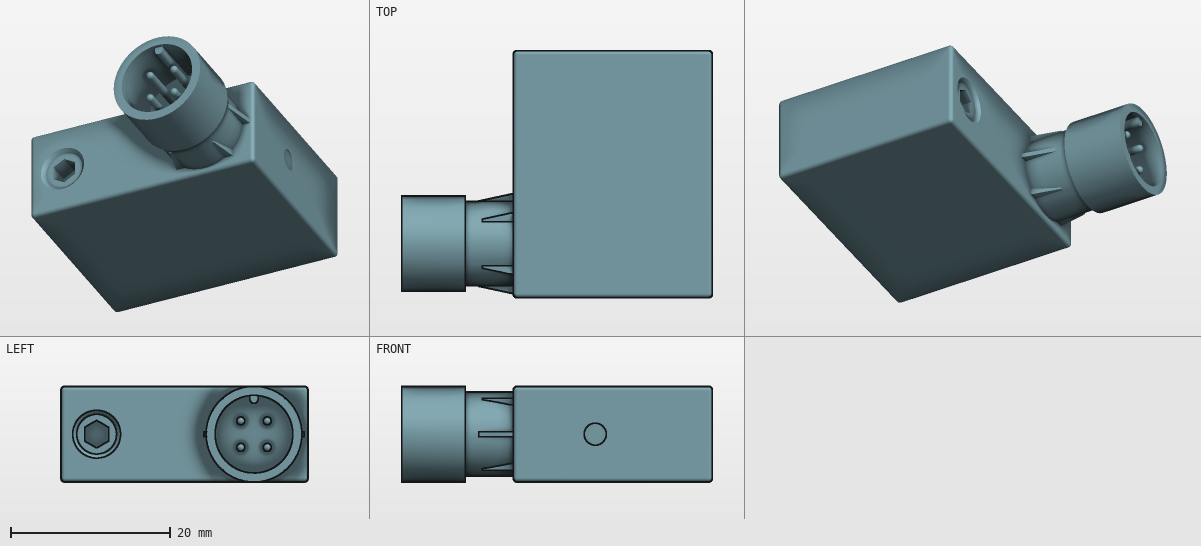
import cadquery as cq
import math

total_length = 39.0
housing_length = 25.0
housing_width = 31.0
housing_height = 12.0
edge_radius = 0.5
housing_front = total_length - housing_length

plug_side_distance = 6.8
plug_y = plug_side_distance - housing_width / 2
collar_diameter = housing_height
collar_length = 8.0
bore_diameter = 9.75
neck_diameter = 10.6

pin_diameter = 1.0
pin_pitch = 3.3
pin_setback = 1.0
key_width = 1.0
key_height = 1.0
key_setback = 0.5

rib_taper_angle = 12.0
middle_rib_length = 4.33
middle_rib_reach = 6.28
middle_rib_thickness = 0.6
outer_rib_length = 3.9
outer_rib_reach = 3.9
outer_rib_bottom = 3.7
outer_rib_top = 4.52

screw_side_distance = 4.5
screw_y = housing_width / 2 - screw_side_distance
countersink_diameter = 6.0
screw_head_diameter = 5.0
countersink_depth = (countersink_diameter - screw_head_diameter) / 2
hex_across_flats = 3.0
hex_depth = 3.0

window_diameter = 2.75
window_depth = 0.1
window_from_front = 10.3


def x_cylinder(diameter, x_start, x_end, y=0.0, z=0.0):
    """Cylinder along X between two X positions."""
    return (
        cq.Workplane("YZ", origin=(x_start, y, z))
        .circle(diameter / 2)
        .extrude(x_end - x_start)
    )


def make_housing():
    """Block with all edges rounded."""
    return (
        cq.Workplane("XY", origin=(housing_front + housing_length / 2, 0, 0))
        .box(housing_length, housing_width, housing_height)
        .edges()
        .fillet(edge_radius)
    )


def make_rib(length, reach, z_bottom, z_top, side):
    """Wedge flaring toward the housing; its root is buried in the neck and the housing."""
    slope = math.tan(math.radians(rib_taper_angle))
    root_x = housing_front + edge_radius
    tip_x = housing_front - length
    root_reach = reach + edge_radius * slope
    tip_reach = reach - length * slope
    return (
        cq.Workplane("XY", origin=(0, plug_y, z_bottom))
        .moveTo(tip_x, 0)
        .lineTo(root_x, 0)
        .lineTo(root_x, side * root_reach)
        .lineTo(tip_x, side * tip_reach)
        .close()
        .extrude(z_top - z_bottom)
    )


def make_pin(y, z):
    """Round-ended pin rising from the floor of the bore."""
    radius = pin_diameter / 2
    dome_x = pin_setback + radius
    shaft = x_cylinder(pin_diameter, dome_x, collar_length + radius, y, z)
    dome = cq.Workplane("XY", origin=(dome_x, y, z)).sphere(radius)
    return shaft.union(dome)


def make_key():
    """Round-nosed key along the top of the bore, rooted in the collar wall."""
    nose_radius = key_width / 2
    nose_z = bore_diameter / 2 - key_height + nose_radius
    root_z = (bore_diameter + collar_diameter) / 4
    return (
        cq.Workplane("YZ", origin=(key_setback, plug_y, 0))
        .moveTo(-nose_radius, root_z)
        .lineTo(-nose_radius, nose_z)
        .threePointArc((0, nose_z - nose_radius), (nose_radius, nose_z))
        .lineTo(nose_radius, root_z)
        .close()
        .extrude(collar_length - key_setback)
    )


def make_plug():
    """Collar, neck, ribs, pins and key."""
    collar = x_cylinder(collar_diameter, 0, collar_length, plug_y)
    bore = x_cylinder(bore_diameter, 0, collar_length, plug_y)
    neck = x_cylinder(neck_diameter, collar_length, housing_front + edge_radius, plug_y)
    plug = collar.cut(bore).union(neck).union(make_key())

    half_middle = middle_rib_thickness / 2
    for side in (-1, 1):
        ribs = [
            make_rib(middle_rib_length, middle_rib_reach, -half_middle, half_middle, side),
            make_rib(outer_rib_length, outer_rib_reach, outer_rib_bottom, outer_rib_top, side),
            make_rib(outer_rib_length, outer_rib_reach, -outer_rib_top, -outer_rib_bottom, side),
        ]
        for rib in ribs:
            plug = plug.union(rib)

    for y_side in (-1, 1):
        for z_side in (-1, 1):
            pin = make_pin(plug_y + y_side * pin_pitch / 2, z_side * pin_pitch / 2)
            plug = plug.union(pin)
    return plug


def make_screw_recess():
    """Conical countersink down to the screw head, with a hexagon socket below it."""
    countersink = (
        cq.Workplane("YZ", origin=(housing_front, screw_y, 0))
        .circle(countersink_diameter / 2)
        .workplane(offset=countersink_depth)
        .circle(screw_head_diameter / 2)
        .loft()
    )
    across_corners = hex_across_flats / math.cos(math.pi / 6)
    socket = (
        cq.Workplane("YZ", origin=(housing_front + countersink_depth, screw_y, 0))
        .transformed(rotate=(0, 0, 90))
        .polygon(6, across_corners)
        .extrude(hex_depth)
    )
    return countersink.union(socket)


def make_window():
    """Disc removed from the -Y side."""
    return (
        cq.Workplane("XZ", origin=(housing_front + window_from_front, -housing_width / 2, 0))
        .circle(window_diameter / 2)
        .extrude(-window_depth)
    )


result = make_housing().cut(make_screw_recess()).cut(make_window()).union(make_plug())